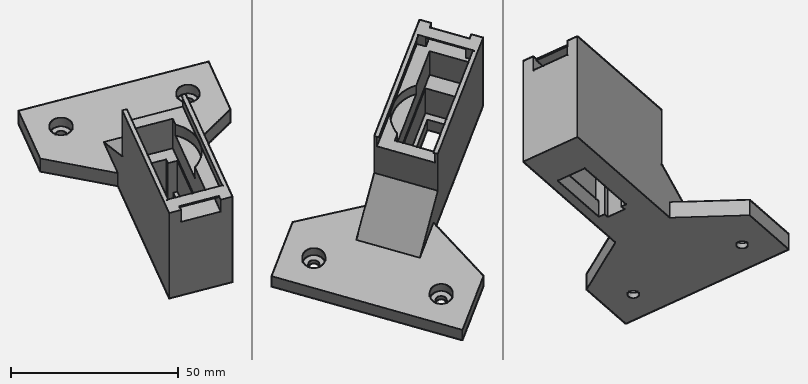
import cadquery as cq
import math

length = 80.0
base_thickness = 6.0
body_width = 20.0
wing_span = 60.0
wing_straight_length = 20.0
wing_root_length = 33.0

screw_x = 10.0
screw_y = 20.0
screw_diameter = 3.5
head_diameter = 7.0
head_depth = 4.0

rib_start_x = 20.0
rib_end_x = 60.0
rib_angle = 35.0

height = 38.8
housing_start_x = 37.0

channel_floor_z = 33.4
channel_end_x = 74.8
channel_width = 18.2
channel_mouth_width = 17.1
lip_height = 0.4

tunnel_width = 12.5
tunnel_top_z = 38.2
notch_depth = 1.6

pocket_start_x = 40.6
pocket_end_x = 73.6
pocket_min_y = -8.1
pocket_max_y = 4.7
pocket_floor_z = 20.0
cavity_start_x = 45.7
cavity_end_x = 68.7
cavity_max_y = 4.4
outlet_end_x = 66.7
outlet_min_y = -6.9
outlet_max_y = 3.1
tab_slot_start_x = 44.1
tab_slot_min_y = -4.8
tab_slot_max_y = 1.4

recess_radius = 11.0
recess_x = 52.0
recess_y = -1.75
recess_depth = 4.9


def block(x_range, y_range, z_range):
    """Axis-aligned box given by its limits."""
    size = [limits[1] - limits[0] for limits in (x_range, y_range, z_range)]
    corner = (x_range[0], y_range[0], z_range[0])
    return cq.Workplane("XY").box(*size, centered=False).translate(corner)


def centered_block(x_range, width, z_range):
    """Box symmetric about the XZ plane."""
    return block(x_range, (-width / 2, width / 2), z_range)


def make_base():
    """Bar and wings with counterbored screw holes."""
    bar = centered_block((0, length), body_width, (0, base_thickness))
    wings = (
        cq.Workplane("XY")
        .moveTo(0, -wing_span / 2)
        .lineTo(wing_straight_length, -wing_span / 2)
        .lineTo(wing_root_length, -body_width / 2)
        .lineTo(wing_root_length, body_width / 2)
        .lineTo(wing_straight_length, wing_span / 2)
        .lineTo(0, wing_span / 2)
        .close()
        .extrude(base_thickness)
    )
    return (
        bar.union(wings)
        .faces(">Z")
        .workplane(origin=(0, 0, base_thickness))
        .pushPoints([(screw_x, -screw_y), (screw_x, screw_y)])
        .cboreHole(screw_diameter, head_diameter, head_depth)
    )


def make_rib():
    """Triangular rib, as wide as the bar."""
    half_length = (rib_end_x - rib_start_x) / 2
    apex_z = base_thickness + half_length * math.tan(math.radians(rib_angle))
    return (
        cq.Workplane("XZ")
        .moveTo(rib_start_x, base_thickness)
        .lineTo(rib_end_x, base_thickness)
        .lineTo(rib_start_x + half_length, apex_z)
        .close()
        .extrude(body_width / 2, both=True)
    )


def make_channel():
    """Lid channel whose side walls lean inward along the top edge."""
    half_width = channel_width / 2
    half_mouth = channel_mouth_width / 2
    lip_z = height - lip_height
    return (
        cq.Workplane("YZ", origin=(housing_start_x, 0, 0))
        .moveTo(-half_width, channel_floor_z)
        .lineTo(half_width, channel_floor_z)
        .lineTo(half_width, lip_z)
        .lineTo(half_mouth, height)
        .lineTo(-half_mouth, height)
        .lineTo(-half_width, lip_z)
        .close()
        .extrude(channel_end_x - housing_start_x)
    )


def make_end_opening():
    """Tunnel below the end strip plus the notch in its outer edge."""
    tunnel = centered_block((channel_end_x, length), tunnel_width, (channel_floor_z, tunnel_top_z))
    notch = centered_block((length - notch_depth, length), tunnel_width, (channel_floor_z, height))
    return tunnel.union(notch)


def make_pocket():
    """Stepped pocket: upper pocket, cavity down to the bar, outlet through it."""
    upper = block(
        (pocket_start_x, pocket_end_x), (pocket_min_y, pocket_max_y), (pocket_floor_z, channel_floor_z)
    )
    cavity = block(
        (cavity_start_x, cavity_end_x), (pocket_min_y, cavity_max_y), (base_thickness, pocket_floor_z)
    )
    outlet = block((cavity_start_x, outlet_end_x), (outlet_min_y, outlet_max_y), (0, base_thickness))
    tab_slot = block(
        (tab_slot_start_x, cavity_start_x), (tab_slot_min_y, tab_slot_max_y), (0, pocket_floor_z)
    )
    return upper.union(cavity).union(outlet).union(tab_slot)


def make_recess():
    """Part of a shallow disc lying beyond the pocket's +Y edge."""
    z_range = (channel_floor_z - recess_depth, channel_floor_z)
    disc = (
        cq.Workplane("XY", origin=(recess_x, recess_y, z_range[0]))
        .circle(recess_radius)
        .extrude(recess_depth)
    )
    x_range = (recess_x - recess_radius, recess_x + recess_radius)
    window = block(x_range, (pocket_max_y, recess_y + recess_radius), z_range)
    return disc.intersect(window)


housing = centered_block((housing_start_x, length), body_width, (base_thickness, height))

result = (
    make_base()
    .union(make_rib())
    .union(housing)
    .cut(make_channel())
    .cut(make_end_opening())
    .cut(make_pocket())
    .cut(make_recess())
)